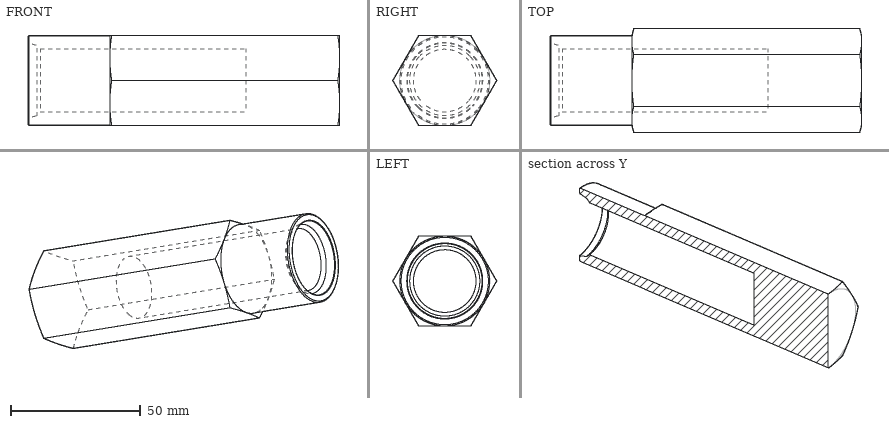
import cadquery as cq
import math

total_length = 120.6
hex_across_corners = 40.3
hex_across_flats = hex_across_corners * math.cos(math.pi / 6)

spigot_length = 31.7
spigot_diameter = 34.7
spigot_chamfer = 0.5

hex_chamfer_length = 0.7

mouth_diameter = 29.4
mouth_chamfer = 0.2
taper_end_diameter = 27.1
taper_depth = 3.5
bore_diameter = 24.3
step_length = (taper_end_diameter - bore_diameter) / 2
bore_depth = 84.5


def revolved(profile):
    """Revolve (x, radius) points about the X axis."""
    outline = cq.Workplane("XY").polyline(profile).close()
    return outline.revolve(360, (0, 0, 0), (1, 0, 0))


def make_spigot():
    radius = spigot_diameter / 2
    return revolved([
        (0, 0),
        (0, radius - spigot_chamfer),
        (spigot_chamfer, radius),
        (spigot_length, radius),
        (spigot_length, 0),
    ])


def make_hexagon():
    prism = (
        cq.Workplane("YZ", origin=(spigot_length, 0, 0))
        .polygon(6, hex_across_corners)
        .extrude(total_length - spigot_length)
    )
    face_radius = hex_across_flats / 2
    corner_radius = hex_across_corners / 2
    envelope = revolved([
        (spigot_length, 0),
        (spigot_length, face_radius),
        (spigot_length + hex_chamfer_length, corner_radius),
        (total_length - hex_chamfer_length, corner_radius),
        (total_length, face_radius),
        (total_length, 0),
    ])
    return prism.intersect(envelope)


def make_bore():
    bore_radius = bore_diameter / 2
    return revolved([
        (0, 0),
        (0, mouth_diameter / 2),
        (mouth_chamfer, mouth_diameter / 2 - mouth_chamfer),
        (taper_depth, taper_end_diameter / 2),
        (taper_depth + step_length, bore_radius),
        (bore_depth, bore_radius),
        (bore_depth, 0),
    ])


result = make_spigot().union(make_hexagon()).cut(make_bore())